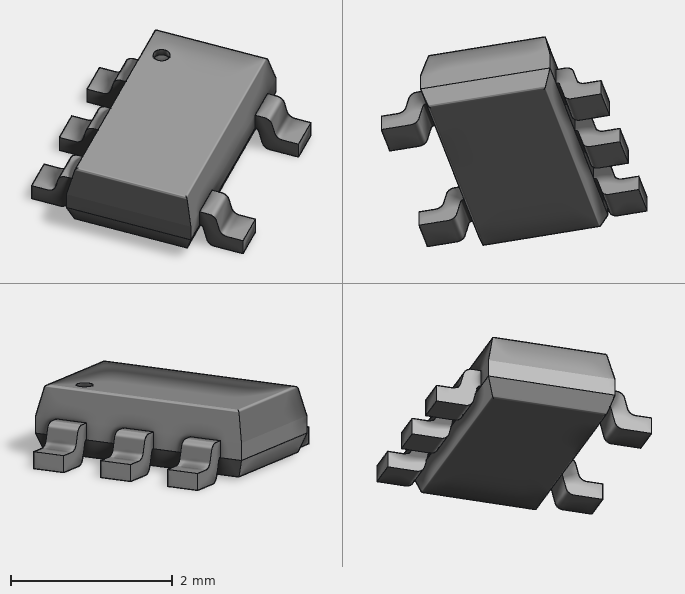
import cadquery as cq
import math

body_width = 1.65
body_length = 2.92
body_bottom = 0.05
body_top = 0.9
cap_taper = 12.5
base_taper = 19.0
cap_edge_radius = 0.04
base_edge_radius = 0.035

lead_span = 2.8
lead_width = 0.425
lead_thickness = 0.215
lead_top = 0.51
lead_pitch = 0.95
lead_lean = 15.0
outer_heel_corner = 0.458
bend_radius = 0.108
shoulder_inner_radius = 0.04

dimple_diameter = 0.207
dimple_inset = 0.33
dimple_depth = 0.088

belt_bottom = lead_top - lead_thickness


def make_body():
    def belt_outline():
        return cq.Workplane("XY").workplane(offset=belt_bottom).rect(body_width, body_length)

    belt = belt_outline().extrude(lead_thickness)
    cap = (
        belt.faces(">Z").workplane()
        .rect(body_width, body_length)
        .extrude(body_top - lead_top, taper=cap_taper, combine=False)
        .faces(">Z").edges().fillet(cap_edge_radius)
    )
    base = (
        belt_outline()
        .extrude(body_bottom - belt_bottom, taper=base_taper)
        .faces("<Z").edges().fillet(base_edge_radius)
    )
    dimple = (
        cq.Workplane("XY").workplane(offset=body_top)
        .center(dimple_inset - body_width / 2, lead_pitch)
        .circle(dimple_diameter / 2)
        .extrude(-dimple_depth)
    )
    return belt.union(cap).union(base).cut(dimple)


def make_lead(y):
    """Left-hand lead centred at y, touching the side of the belt."""
    slope = math.tan(math.radians(lead_lean))
    tip = -lead_span / 2
    root = -body_width / 2
    heel = tip + outer_heel_corner
    flank_offset = lead_thickness / math.cos(math.radians(lead_lean))
    shoulder_inner = (heel + belt_bottom * slope, belt_bottom)
    shoulder_outer = (heel - flank_offset + lead_top * slope, lead_top)
    foot_inner = (heel - flank_offset + lead_thickness * slope, lead_thickness)
    profile = [
        (tip, 0),
        (heel, 0),
        shoulder_inner,
        (root, belt_bottom),
        (root, lead_top),
        shoulder_outer,
        foot_inner,
        (tip, lead_thickness),
    ]
    lead = (
        cq.Workplane("XZ", origin=(0, y, 0))
        .polyline(profile).close()
        .extrude(lead_width / 2, both=True)
    )
    bends = [
        ((heel, 0), bend_radius),
        (foot_inner, bend_radius),
        (shoulder_outer, bend_radius),
        (shoulder_inner, shoulder_inner_radius),
    ]
    for (x, z), radius in bends:
        lead = lead.edges(cq.selectors.NearestToPointSelector((x, y, z))).fillet(radius)
    return lead


body = make_body()

left_leads = [make_lead(row * lead_pitch).val() for row in (-1, 0, 1)]
right_leads = [make_lead(row * lead_pitch).mirror("YZ").val() for row in (-1, 1)]

result = cq.Compound.makeCompound([body.val(), *left_leads, *right_leads])